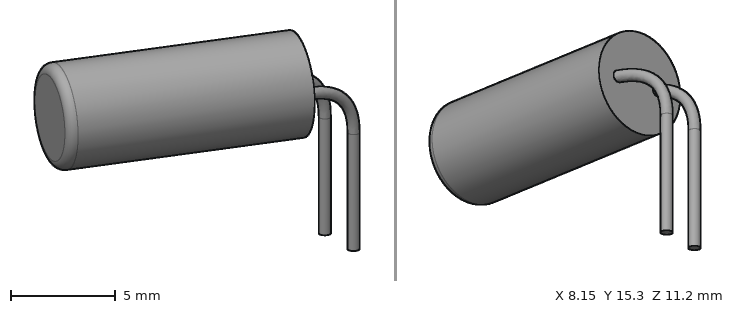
import cadquery as cq
import math

can_diameter = 5.2
can_length = 12.5
can_turn = 15.0
rim_radius = 0.49
can_radius = can_diameter / 2

lead_diameter = 0.6
lead_pitch = 2.4
lead_middle_x = 0.1
lead_drop_y = 2.4
lead_length_below_can = 6.01
bend_height = can_radius
bend_reach = 3.17


def make_can():
    turn = math.radians(can_turn)
    end_plane = cq.Plane(
        origin=(0, 0, 0),
        xDir=(0, 0, 1),
        normal=(-math.sin(turn), -math.cos(turn), 0),
    )
    can = cq.Workplane(end_plane).circle(can_radius).extrude(can_length)
    rounded_rim = can.faces("<Y").edges()
    return rounded_rim.fillet(rim_radius)


def make_lead(x, can):
    """Bent wire trimmed where it meets the end face of the can."""
    bend_bottom = -bend_height
    foot = bend_bottom - lead_length_below_can
    bend_end_y = lead_drop_y - bend_reach
    path = (
        cq.Workplane("YZ", origin=(x, 0, 0))
        .moveTo(lead_drop_y, foot)
        .lineTo(lead_drop_y, bend_bottom)
        .spline([(bend_end_y, 0)], tangents=[(0, 1), (-1, 0)], includeCurrent=True)
    )
    wire = (
        cq.Workplane("XY", origin=(x, lead_drop_y, foot))
        .circle(lead_diameter / 2)
        .sweep(path)
    )
    return wire.cut(can)


can = make_can()
leads = [
    make_lead(lead_middle_x + side * lead_pitch / 2, can)
    for side in (-1, 1)
]

result = cq.Compound.makeCompound([can.val(), *[lead.solids().val() for lead in leads]])